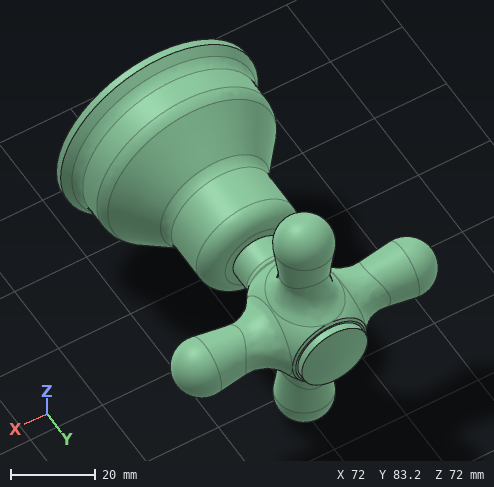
import cadquery as cq
import math

base_radius = 27.5
flange_thickness = 2.0
body_radius = 24.6
neck_radius = 14.0
taper_angle = math.radians(39)
shoulder_height = 15.5
neck_top = 46.6
blend_radius = 5.0

stem_radius = 6.8
stem_top = 53.75
stem_blend_radius = 2.0

hub_bottom_radius = 8.25
hub_bottom = stem_top + (hub_bottom_radius - stem_radius)
hub_middle = 68.0
hub_middle_radius = 12.9
hub_top = 79.4
hub_top_radius = 10.3
hub_rim_top = 79.9
hub_rim_radius = 9.7

cap_radius = 9.15
cap_edge = 81.8
overall_height = 83.2

arm_count = 4
arm_spacing = 360 / arm_count
arm_height = 67.85
arm_reach = 36.0
ball_radius = 7.5
arm_slope = math.radians(7.5)
arm_blend_radius = 9.6

match_tolerance = 0.01


def circles_at(solid, height, radius):
    """Circular edges about Y with the given height and radius."""

    def matches(edge):
        return (
            edge.geomType() == "CIRCLE"
            and abs(edge.Center().y - height) < match_tolerance
            and abs(edge.radius() - radius) < match_tolerance
        )

    return solid.edges().filter(matches)


def make_base():
    """Flange, body, conical shoulder and neck, with every corner but the flange's rounded."""
    taper = math.tan(taper_angle)
    body_bottom = flange_thickness + (base_radius - body_radius) / taper
    neck_bottom = shoulder_height + (body_radius - neck_radius) / taper
    base = (
        cq.Workplane("XY")
        .polyline(
            [
                (0, 0),
                (base_radius, 0),
                (base_radius, flange_thickness),
                (body_radius, body_bottom),
                (body_radius, shoulder_height),
                (neck_radius, neck_bottom),
                (neck_radius, neck_top),
                (0, neck_top),
            ]
        )
        .close()
        .revolve(360, (0, 0, 0), (0, 1, 0))
    )
    corners = [
        (body_bottom, body_radius),
        (shoulder_height, body_radius),
        (neck_bottom, neck_radius),
        (neck_top, neck_radius),
    ]
    for height, radius in corners:
        base = circles_at(base, height, radius).fillet(blend_radius)
    return base


def make_hub():
    """Stem and barrel-shaped hub, turned as one piece."""
    hub = (
        cq.Workplane("XY")
        .moveTo(0, neck_top)
        .lineTo(stem_radius, neck_top)
        .lineTo(stem_radius, stem_top)
        .lineTo(hub_bottom_radius, hub_bottom)
        .threePointArc((hub_middle_radius, hub_middle), (hub_top_radius, hub_top))
        .lineTo(hub_rim_radius, hub_rim_top)
        .lineTo(0, hub_rim_top)
        .close()
        .revolve(360, (0, 0, 0), (0, 1, 0))
    )
    return circles_at(hub, stem_top, stem_radius).fillet(stem_blend_radius)


def make_cap():
    """Short disc with a shallow domed face."""
    rise = overall_height - cap_edge
    dome_radius = (cap_radius**2 + rise**2) / (2 * rise)
    half_way = cap_radius / 2
    half_way_height = overall_height - dome_radius + math.sqrt(dome_radius**2 - half_way**2)
    return (
        cq.Workplane("XY")
        .moveTo(0, hub_rim_top)
        .lineTo(cap_radius, hub_rim_top)
        .lineTo(cap_radius, cap_edge)
        .threePointArc((half_way, half_way_height), (0, overall_height))
        .close()
        .revolve(360, (0, 0, 0), (0, 1, 0))
    )


def make_arm():
    """Arm along +X from the hub axis, its cone running tangent into the ball end."""
    ball_center = arm_reach - ball_radius
    tangent_x = ball_center - ball_radius * math.sin(arm_slope)
    tangent_radius = ball_radius * math.cos(arm_slope)
    root_radius = tangent_radius - tangent_x * math.tan(arm_slope)
    return (
        cq.Workplane("XY")
        .lineTo(0, root_radius)
        .lineTo(tangent_x, tangent_radius)
        .threePointArc((ball_center, ball_radius), (arm_reach, 0))
        .close()
        .revolve(360, (0, 0, 0), (1, 0, 0))
        .translate((0, arm_height, 0))
    )


def make_handle():
    """Hub with the four arms, each blended into the barrel."""
    handle = make_hub().rotate((0, 0, 0), (0, 1, 0), arm_spacing / 2)
    arm = make_arm()
    for index in range(arm_count):
        handle = handle.union(arm.rotate((0, 0, 0), (0, 1, 0), index * arm_spacing))

    def is_arm_root(edge):
        """Only the arms' meeting curves with the barrel are neither lines nor circles."""
        return edge.geomType() not in ("LINE", "CIRCLE")

    return handle.edges().filter(is_arm_root).fillet(arm_blend_radius)


result = make_base().union(make_handle()).union(make_cap())